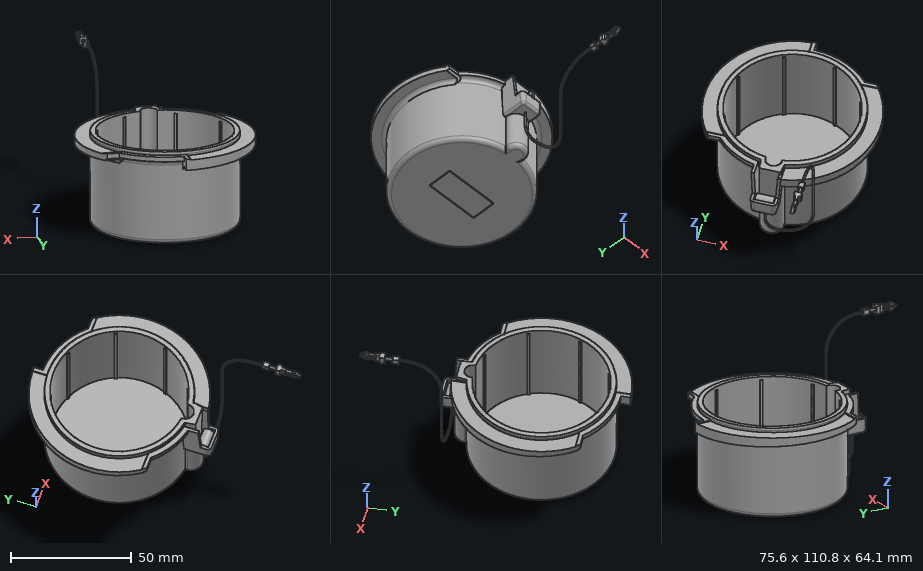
import cadquery as cq
import math

PAD_SIZE_X = 25.9
PAD_SIZE_Y = 11.6
CUP_BOTTOM = 0.4
FLOOR_TOP = 2.0
RIM_TOP = 40.5
CUP_RADIUS = 31.4
WALL = 2.4
BORE_RADIUS = CUP_RADIUS - WALL
BOTTOM_FILLET = 2.0
RIM_CHAMFER_HEIGHT = 0.9
RIM_CHAMFER_WIDTH = 0.2

LOBE_RADIUS = 5.2
LOBE_FRONT = -36.9
LOBE_CENTER_Y = LOBE_FRONT + LOBE_RADIUS
GROOVE_RADIUS = 3.5
GROOVE_FRONT = -32.7
GROOVE_CENTER_Y = GROOVE_FRONT + GROOVE_RADIUS

RIB_COUNT = 8
RIB_WIDTH = 1.1
RIB_HEIGHT = 0.5
RIB_TOP = RIM_TOP - 1.4

LUG_RADIUS = 37.8
LUG_TOP = 38.6
LUG_UNDERSIDE_MID = 35.3
LUG_RISE = 1.1
LUG_END_X = -1.9
LUG_END_Y = -21.0
STRIP_END_X = 0.0
STRIP_END_Y = -22.7
END_SLOPE_Y = -20.0
END_SLOPE_BOTTOM = 34.1
COLLAR_RADIUS = 33.8
COLLAR_TOP = 39.0
COLLAR_BOTTOM = 36.9
FLANGE_FILLET = 2.0

HOLDER_X = -1.1
HOLDER_BACK = -30.6
ARM_TOP_WIDTH = 12.9
ARM_TOP_FRONT = -37.4
ARM_BASE_FRONT = -38.1
BOX_BOTTOM_WIDTH = 10.6
BOX_FRONT = -42.6
BOX_BOTTOM = 20.1
BOX_TOP = 26.7
BOX_FILLET = 1.8
BOX_BOTTOM_FILLET = 1.2
HOLDER_WALL = 1.3
BOX_FLOOR = BOX_BOTTOM + HOLDER_WALL
COLUMN_FRONT = -35.3
COLUMN_BACK_HALF_WIDTH = 5.2
COLUMN_FRONT_HALF_WIDTH = 4.5

BARREL_DIAMETER = 5.0
BARREL_LENGTH = 8.0
BARREL_Z = BOX_FLOOR + BARREL_DIAMETER / 2
CABLE_DIAMETER = 0.8
CABLE_Y = -38.5
SMALL_BEND = 5.1
SMALL_BEND_TOP = 12.2
LARGE_BEND = 15.7
TOP_BEND = 14.9
CABLE_X = HOLDER_X + SMALL_BEND + LARGE_BEND
CABLE_LOW = SMALL_BEND_TOP - SMALL_BEND
PLUG_X = CABLE_X + 0.2
PLUG_TIP = -73.0
PLUG_HEIGHT = 3.4
PLUG_TOP = 64.1
PLUG_Z = PLUG_TOP - PLUG_HEIGHT / 2
FERRULE_BACK = -56.4
FERRULE_FRONT = -59.2
FERRULE_SIZE = 2.3
ROD_DIAMETER = 1.3
PLUG_BLOCK_BACK = -62.4
PLUG_BLOCK_WIDTH = 3.1
PLUG_TAPER_BACK = -64.3
PLUG_TAPER_FRONT = -64.8
BLADE_WIDTH = 1.3
BLADE_SHANK_BACK = -66.5
BLADE_SHANK_HEIGHT = 2.2
BARB_BACK = -69.5
BARB_FRONT = -70.6
SLOT_BACK = -66.1
SLOT_FRONT = -71.4
SLOT_HEIGHT = 0.7

REACH = 55.4


def box(x0, x1, y0, y1, z0, z1):
    """Box between two opposite corners."""
    return cq.Workplane("XY").box(x1 - x0, y1 - y0, z1 - z0, centered=False).translate((x0, y0, z0))


def cylinder(radius, z0, z1, y=0.0):
    """Upright cylinder centred on X = 0."""
    return cq.Workplane("XY").workplane(offset=z0).center(0, y).circle(radius).extrude(z1 - z0)


def half_turn(body):
    """Copy of a body turned by 180 degrees about the cup axis."""
    return body.rotate((0, 0, 0), (0, 0, 1), 180)


def revolve_about_z(profile):
    """Revolve a closed (radius, Z) profile drawn on the XZ plane."""
    return profile.close().revolve(360, (0, 0, 0), (0, 1, 0))


def make_outer_wall():
    """Cup and lobe with a rounded bottom edge and a chamfered rim."""
    wall = cylinder(CUP_RADIUS, CUP_BOTTOM, RIM_TOP)
    wall = wall.faces(">Z").edges().chamfer(RIM_CHAMFER_HEIGHT, RIM_CHAMFER_WIDTH)
    lobe = cylinder(LOBE_RADIUS, CUP_BOTTOM, COLLAR_BOTTOM, LOBE_CENTER_Y)
    lobe = lobe.union(box(-LOBE_RADIUS, LOBE_RADIUS, LOBE_CENTER_Y, 0, CUP_BOTTOM, COLLAR_BOTTOM))
    wall = wall.union(lobe)
    wall = wall.faces("<Z").edges().fillet(BOTTOM_FILLET)
    pad = box(-PAD_SIZE_X / 2, PAD_SIZE_X / 2, -PAD_SIZE_Y / 2, PAD_SIZE_Y / 2, 0, CUP_BOTTOM)
    return wall.union(pad)


def fillet_arc_middle(underside):
    """Middle point of the concave arc between the cup wall and a flange underside."""
    inset = FLANGE_FILLET * (1 - math.sqrt(0.5))
    return CUP_RADIUS + inset, underside - inset


def make_collar():
    """Narrow flange ring with a concave fillet below it."""
    profile = (
        cq.Workplane("XZ")
        .moveTo(BORE_RADIUS, COLLAR_TOP)
        .lineTo(COLLAR_RADIUS, COLLAR_TOP)
        .lineTo(COLLAR_RADIUS, COLLAR_BOTTOM)
        .lineTo(CUP_RADIUS + FLANGE_FILLET, COLLAR_BOTTOM)
        .threePointArc(fillet_arc_middle(COLLAR_BOTTOM), (CUP_RADIUS, COLLAR_BOTTOM - FLANGE_FILLET))
        .lineTo(BORE_RADIUS, COLLAR_BOTTOM - FLANGE_FILLET)
    )
    return revolve_about_z(profile)


def make_underside_cutter():
    """Space below a lug: a ring with a rounded inner top edge, tilted about X."""
    bottom = LUG_UNDERSIDE_MID - 2 * (LUG_RISE + FLANGE_FILLET)
    profile = (
        cq.Workplane("XZ")
        .moveTo(BORE_RADIUS, bottom)
        .lineTo(CUP_RADIUS, LUG_UNDERSIDE_MID - FLANGE_FILLET)
        .threePointArc(fillet_arc_middle(LUG_UNDERSIDE_MID), (CUP_RADIUS + FLANGE_FILLET, LUG_UNDERSIDE_MID))
        .lineTo(REACH, LUG_UNDERSIDE_MID)
        .lineTo(REACH, bottom)
    )
    tilt = math.degrees(math.atan(LUG_RISE / LUG_RADIUS))
    pivot = (0, 0, LUG_UNDERSIDE_MID)
    return revolve_about_z(profile).rotate(pivot, (1, 0, LUG_UNDERSIDE_MID), -tilt)


def make_end_slope_cutter():
    """Space below the sloped -Y end of a lug."""
    low = (END_SLOPE_Y, END_SLOPE_BOTTOM)
    high = (STRIP_END_Y, COLLAR_BOTTOM)
    outline = [(END_SLOPE_Y, CUP_BOTTOM), low, high, (STRIP_END_Y, CUP_BOTTOM)]
    return cq.Workplane("YZ").polyline(outline).close().extrude(-REACH)


def make_lug_zone(end_x, end_y):
    """Quadrant-like block that bounds one lug in plan."""
    return box(-REACH, end_x, end_y, REACH, 0, RIM_TOP)


def make_flange():
    """Collar, two lugs half a turn apart and the raised strips at the lug ends."""
    lug_zone = make_lug_zone(LUG_END_X, LUG_END_Y)
    full_zone = make_lug_zone(STRIP_END_X, STRIP_END_Y)
    lug_bottom = LUG_UNDERSIDE_MID - LUG_RISE - FLANGE_FILLET
    lug = cylinder(LUG_RADIUS, lug_bottom, LUG_TOP).intersect(full_zone)
    lug = lug.cut(make_underside_cutter()).cut(make_end_slope_cutter())
    strip = cylinder(LUG_RADIUS, COLLAR_BOTTOM, COLLAR_TOP).intersect(full_zone).cut(lug_zone)
    flange = make_collar().cut(lug_zone).cut(half_turn(lug_zone))
    for piece in (lug, strip):
        flange = flange.union(piece).union(half_turn(piece))
    return flange


def make_holder_block(width_reduction):
    """Block with sides that lean outwards to the top, reaching well past the holder front."""
    bottom = BOX_BOTTOM_WIDTH / 2 - width_reduction
    top = ARM_TOP_WIDTH / 2 - width_reduction
    outline = [(HOLDER_X - bottom, BOX_BOTTOM), (HOLDER_X - top, COLLAR_TOP),
               (HOLDER_X + top, COLLAR_TOP), (HOLDER_X + bottom, BOX_BOTTOM)]
    return cq.Workplane("XZ", origin=(0, HOLDER_BACK, 0)).polyline(outline).close().extrude(REACH)


def make_side_prism(outline):
    """Long prism along X from a (Y, Z) outline."""
    return cq.Workplane("YZ").polyline(outline).close().extrude(REACH, both=True)


def make_holder():
    """Outer shape of the cable holder: arms with a sloped front above a rounded box."""
    side = [(HOLDER_BACK, BOX_BOTTOM), (HOLDER_BACK, COLLAR_TOP), (ARM_TOP_FRONT, COLLAR_TOP),
            (ARM_BASE_FRONT, BOX_TOP), (BOX_FRONT, BOX_TOP), (BOX_FRONT, BOX_BOTTOM)]
    holder = make_holder_block(0).intersect(make_side_prism(side))
    holder = holder.faces("<Y").edges("not |X").fillet(BOX_FILLET)
    return holder.faces("<Z").edges("not >Y").fillet(BOX_BOTTOM_FILLET)


def make_holder_cavity():
    """Space between the arms and inside the box, with the cable hole in the box floor."""
    inner_front = BOX_FRONT + HOLDER_WALL
    side = [(HOLDER_BACK, BOX_FLOOR), (HOLDER_BACK, COLLAR_TOP), (-REACH, COLLAR_TOP),
            (-REACH, BOX_TOP), (inner_front, BOX_TOP), (inner_front, BOX_FLOOR)]
    cavity = make_holder_block(HOLDER_WALL).intersect(make_side_prism(side))
    hole = cylinder(CABLE_DIAMETER / 2, BOX_BOTTOM, BOX_FLOOR, CABLE_Y).translate((HOLDER_X, 0, 0))
    return cavity.union(hole)


def make_column():
    """Flat-fronted column that fills the back of the holder and rises above it to the rim."""
    outline = [(-COLUMN_BACK_HALF_WIDTH, HOLDER_BACK), (-COLUMN_FRONT_HALF_WIDTH, COLUMN_FRONT),
               (COLUMN_FRONT_HALF_WIDTH, COLUMN_FRONT), (COLUMN_BACK_HALF_WIDTH, HOLDER_BACK),
               (COLUMN_BACK_HALF_WIDTH, GROOVE_CENTER_Y), (-COLUMN_BACK_HALF_WIDTH, GROOVE_CENTER_Y)]
    column = cq.Workplane("XY", origin=(0, 0, BOX_FLOOR)).polyline(outline).close().extrude(RIM_TOP - BOX_FLOOR)
    between_arms = column.intersect(make_holder_block(0))
    top = column.intersect(box(-REACH, REACH, -REACH, 0, COLLAR_BOTTOM, RIM_TOP))
    return between_arms.union(top)


def make_bore():
    """Inside of the cup with the half-round groove in the lobe."""
    bore = cylinder(BORE_RADIUS, FLOOR_TOP, RIM_TOP)
    groove = cylinder(GROOVE_RADIUS, FLOOR_TOP, RIM_TOP, GROOVE_CENTER_Y)
    groove = groove.union(box(-GROOVE_RADIUS, GROOVE_RADIUS, GROOVE_CENTER_Y, 0, FLOOR_TOP, RIM_TOP))
    return bore.union(groove)


def make_cup():
    """Cup with flange, holder, bore and inner ribs as one body."""
    cup = make_outer_wall().union(make_flange()).union(make_holder())
    cup = cup.cut(make_holder_cavity()).union(make_column()).cut(make_bore())
    pitch = 360 / RIB_COUNT
    rib = box(BORE_RADIUS - RIB_HEIGHT, BORE_RADIUS + WALL / 2, -RIB_WIDTH / 2, RIB_WIDTH / 2, FLOOR_TOP, RIB_TOP)
    for index in range(RIB_COUNT):
        cup = cup.union(rib.rotate((0, 0, 0), (0, 0, 1), (index + 0.5) * pitch))
    return cup


def make_cable_path():
    """Down from the barrel, round a U-bend, up beside the cup and forward to the plug."""
    diagonal = math.sqrt(0.5)
    low_x = HOLDER_X + SMALL_BEND
    large_center_z = CABLE_LOW + LARGE_BEND
    top_center_z = PLUG_Z - TOP_BEND
    top_center_y = CABLE_Y - TOP_BEND
    down_end = cq.Vector(HOLDER_X, CABLE_Y, SMALL_BEND_TOP)
    small_middle = cq.Vector(low_x - SMALL_BEND * diagonal, CABLE_Y, SMALL_BEND_TOP - SMALL_BEND * diagonal)
    low_point = cq.Vector(low_x, CABLE_Y, CABLE_LOW)
    large_middle = cq.Vector(low_x + LARGE_BEND * diagonal, CABLE_Y, large_center_z - LARGE_BEND * diagonal)
    rise_start = cq.Vector(CABLE_X, CABLE_Y, large_center_z)
    rise_end = cq.Vector(CABLE_X, CABLE_Y, top_center_z)
    top_middle = cq.Vector(CABLE_X, top_center_y + TOP_BEND * diagonal, top_center_z + TOP_BEND * diagonal)
    top_end = cq.Vector(CABLE_X, top_center_y, PLUG_Z)
    edges = [
        cq.Edge.makeLine(cq.Vector(HOLDER_X, CABLE_Y, BARREL_Z), down_end),
        cq.Edge.makeThreePointArc(down_end, small_middle, low_point),
        cq.Edge.makeThreePointArc(low_point, large_middle, rise_start),
        cq.Edge.makeLine(rise_start, rise_end),
        cq.Edge.makeThreePointArc(rise_end, top_middle, top_end),
        cq.Edge.makeLine(top_end, cq.Vector(CABLE_X, FERRULE_FRONT, PLUG_Z)),
    ]
    return cq.Wire.assembleEdges(edges)


def make_plug():
    """Ferrule, rod, tapered block and slotted arrow blade along -Y."""
    half = FERRULE_SIZE / 2
    ferrule = box(PLUG_X - half, PLUG_X + half, FERRULE_FRONT, FERRULE_BACK, PLUG_Z - half, PLUG_Z + half)
    rod = cq.Workplane("XZ", origin=(PLUG_X, FERRULE_BACK, PLUG_Z)).circle(ROD_DIAMETER / 2)
    rod = rod.extrude(FERRULE_BACK - PLUG_BLOCK_BACK)

    wide = PLUG_BLOCK_WIDTH / 2
    narrow = BLADE_WIDTH / 2
    block_half_outline = [(0, PLUG_BLOCK_BACK), (wide, PLUG_BLOCK_BACK), (wide, PLUG_TAPER_BACK),
                          (narrow, PLUG_TAPER_FRONT), (narrow, BLADE_SHANK_BACK), (0, BLADE_SHANK_BACK)]
    block = cq.Workplane("XY", origin=(PLUG_X, 0, PLUG_Z - PLUG_HEIGHT / 2))
    block = block.polyline(block_half_outline).mirrorY().extrude(PLUG_HEIGHT)

    shank = BLADE_SHANK_HEIGHT / 2
    barb = PLUG_HEIGHT / 2
    blade_half_outline = [(PLUG_BLOCK_BACK, 0), (PLUG_BLOCK_BACK, shank), (BARB_BACK, shank),
                          (BARB_BACK, barb), (BARB_FRONT, barb), (PLUG_TIP, 0)]
    blade = cq.Workplane("YZ", origin=(PLUG_X, 0, PLUG_Z))
    blade = blade.polyline(blade_half_outline).mirrorX().extrude(narrow, both=True)
    slot = box(PLUG_X - wide, PLUG_X + wide, SLOT_FRONT, SLOT_BACK,
               PLUG_Z - SLOT_HEIGHT / 2, PLUG_Z + SLOT_HEIGHT / 2)
    return ferrule.union(rod).union(block).union(blade).cut(slot)


def make_cable():
    """Anchor barrel in the holder, round cable and plug as one body."""
    barrel = cq.Workplane("YZ", origin=(HOLDER_X, CABLE_Y, BARREL_Z)).circle(BARREL_DIAMETER / 2)
    barrel = barrel.extrude(BARREL_LENGTH / 2, both=True)
    wire_section = cq.Workplane("XY", origin=(HOLDER_X, CABLE_Y, BARREL_Z)).circle(CABLE_DIAMETER / 2)
    return barrel.union(wire_section.sweep(make_cable_path())).union(make_plug())


cup = make_cup()
cable = make_cable()
result = cq.Compound.makeCompound([*cup.solids().vals(), *cable.solids().vals()])